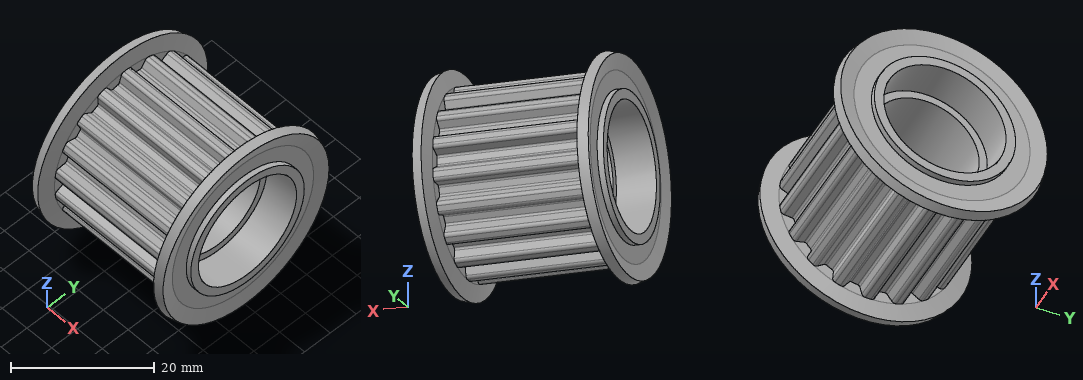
import cadquery as cq
import math


tooth_count = 18
track_width = 21.98
tip_radius = 13.9
root_radius = 12.08
groove_floor_width = 1.5
flank_angle = 25
root_fillet = 0.4
tip_fillet = 0.6

rim_radius = 16.5
sheet_thickness = 1.6
dish_angle = 15
bend_radius = tip_radius

hub_length = 27.0
hub_radius = 11.0
bore_radius = 8.25
bearing_radius = 9.5
bearing_depth = 6.0

cutter_overlap = 0.33
edge_tolerance = 0.003


def cylinder(radius, length, start):
    """Solid cylinder along +X from X = start."""
    return cq.Workplane("YZ", origin=(start, 0, 0)).circle(radius).extrude(length)


def axis_distance(edge):
    """Distance from the X axis to the middle of an edge."""
    center = edge.Center()
    return math.hypot(center.y, center.z)


def make_track():
    """Cylinder with straight-flanked belt grooves and rounded groove corners."""
    start = -track_width / 2
    track = cylinder(tip_radius, track_width, start)

    mouth_radius = tip_radius + cutter_overlap
    floor_half = groove_floor_width / 2
    mouth_half = floor_half + (mouth_radius - root_radius) * math.tan(math.radians(flank_angle))
    groove = (
        cq.Workplane("YZ", origin=(start, 0, 0))
        .polyline([
            (root_radius, -floor_half),
            (mouth_radius, -mouth_half),
            (mouth_radius, mouth_half),
            (root_radius, floor_half),
        ])
        .close()
        .extrude(track_width)
    )
    for i in range(tooth_count):
        track = track.cut(groove.rotate((0, 0, 0), (1, 0, 0), i * 360 / tooth_count))

    def at_floor(edge):
        return axis_distance(edge) < (root_radius + tip_radius) / 2

    def at_tip(edge):
        return axis_distance(edge) > tip_radius - edge_tolerance

    track = track.edges("|X").filter(at_floor).fillet(root_fillet)
    return track.edges("|X").filter(at_tip).fillet(tip_fillet)


def make_flange():
    """Flange on the +X end, revolved from the cross-section of the bent sheet."""
    dish = math.radians(dish_angle)
    inner_x = track_width / 2
    outer_x = inner_x + sheet_thickness
    rim_x = inner_x + (rim_radius - bend_radius) * math.tan(dish)
    outer_rim_x = rim_x + sheet_thickness * math.cos(dish)
    outer_rim_radius = rim_radius - sheet_thickness * math.sin(dish)
    outer_bend_radius = bend_radius - sheet_thickness * math.tan(dish / 2)
    return (
        cq.Workplane("XY")
        .polyline([
            (inner_x, 0),
            (inner_x, bend_radius),
            (rim_x, rim_radius),
            (outer_rim_x, outer_rim_radius),
            (outer_x, outer_bend_radius),
            (outer_x, 0),
        ])
        .close()
        .revolve(360, (0, 0, 0), (1, 0, 0))
    )


hub_end = hub_length / 2
flange = make_flange()
hub = cylinder(hub_radius, hub_length, -hub_end)
result = make_track().union(flange).union(flange.mirror("YZ")).union(hub)

result = result.cut(cylinder(bore_radius, hub_length, -hub_end))
for seat_start in (-hub_end, hub_end - bearing_depth):
    result = result.cut(cylinder(bearing_radius, bearing_depth, seat_start))